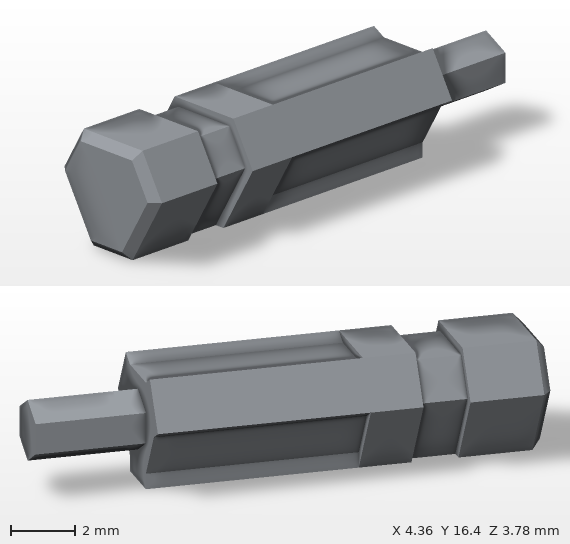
import cadquery as cq
import math

total_length = 16.4
shoulder_y = 12.82
channel_start_y = 5.92
groove_start_y = 2.69
groove_end_y = 4.21

wide_side = 2.62
narrow_side = 1.74
head_chamfer = 0.3
groove_depth = 0.3

wide_side_distance = (wide_side + 2 * narrow_side) / (2 * math.sqrt(3))
narrow_side_distance = (narrow_side + 2 * wide_side) / (2 * math.sqrt(3))
side_corner_z = wide_side_distance - narrow_side * math.sin(math.radians(60))
half_width = (wide_side + narrow_side) / 2

channel_floor = narrow_side
channel_depth = (wide_side - channel_floor) / 2 * math.tan(math.radians(30))

stud_across_flats = narrow_side
stud_across_corners = stud_across_flats / math.cos(math.radians(30))


def prism(points, start_y, end_y):
    """Extrude an XZ outline between two Y positions."""
    plane = cq.Workplane("XZ", origin=(0, start_y, 0))
    return plane.polyline(points).close().extrude(start_y - end_y)


body_outline = [
    (-wide_side / 2, wide_side_distance),
    (wide_side / 2, wide_side_distance),
    (half_width, side_corner_z),
    (narrow_side / 2, -narrow_side_distance),
    (-narrow_side / 2, -narrow_side_distance),
    (-half_width, side_corner_z),
]

body = prism(body_outline, 0, shoulder_y).faces("<Y").chamfer(head_chamfer)

corner_shift = groove_depth / math.cos(math.radians(30))
top_shift = groove_depth * math.tan(math.radians(30))
groove_core_outline = [
    (-wide_side / 2 + top_shift, wide_side_distance - groove_depth),
    (wide_side / 2 - top_shift, wide_side_distance - groove_depth),
    (half_width - corner_shift, side_corner_z),
    (narrow_side / 2 - corner_shift, -narrow_side_distance),
    (-narrow_side / 2 + corner_shift, -narrow_side_distance),
    (-half_width + corner_shift, side_corner_z),
]
groove = prism(body_outline, groove_start_y, groove_end_y).cut(
    prism(groove_core_outline, groove_start_y, groove_end_y)
)
body = body.cut(groove)

channel_outline = [
    (-wide_side / 2, wide_side_distance),
    (wide_side / 2, wide_side_distance),
    (channel_floor / 2, wide_side_distance - channel_depth),
    (-channel_floor / 2, wide_side_distance - channel_depth),
]
channel = prism(channel_outline, channel_start_y, shoulder_y)
for angle in (0, 120, 240):
    body = body.cut(channel.rotate((0, 0, 0), (0, 1, 0), angle))

stud = (
    cq.Workplane("XZ", origin=(0, shoulder_y, 0))
    .transformed(rotate=(0, 0, 90))
    .polygon(6, stud_across_corners)
    .extrude(shoulder_y - total_length)
)

result = body.union(stud)